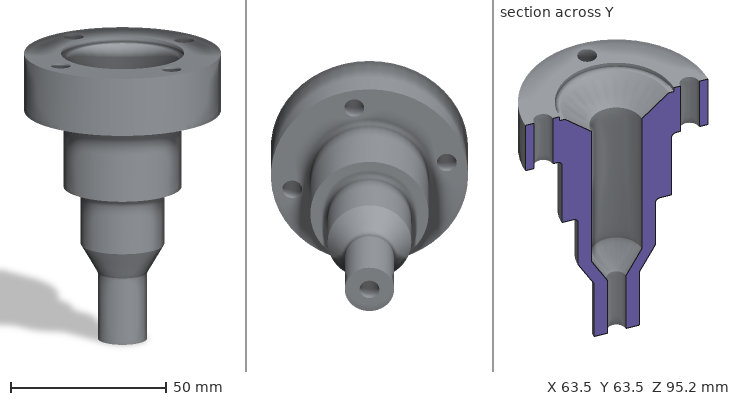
import cadquery as cq
import math

total_length = 95.25
flange_diameter = 63.5
flange_thickness = 19.05
body_diameter = 38.1
body_end_depth = 44.5
neck_diameter = 27.0
neck_end_depth = 63.5
taper_end_depth = 73.1
stem_diameter = 15.9
step_fillet = 1.6

recess_diameter = 39.7
recess_depth = 1.6
funnel_top_diameter = 36.0
bore_diameter = 17.4
funnel_end_depth = 9.5
bore_end_depth = neck_end_depth
outlet_diameter = 6.4
bore_tip_angle = 30.0

bolt_hole_diameter = 6.4
bolt_circle_diameter = 50.8
bolt_count = 4


def cone_height(large_diameter, small_diameter, half_angle):
    return (large_diameter - small_diameter) / 2 / math.tan(math.radians(half_angle))


def revolve_steps(steps):
    """Revolve (diameter, depth) steps about Z, with the flange face at the top."""
    points = [(diameter / 2, total_length - depth) for diameter, depth in steps]
    top = (0, points[0][1])
    bottom = (0, points[-1][1])
    profile = cq.Workplane("XZ").polyline([top] + points + [bottom]).close()
    return profile.revolve(360, (0, 0), (0, 1))


def fillet_step(solid, diameter, depth):
    """Round the inside corner where a cylinder meets the shoulder above it."""
    radius = diameter / 2
    height = total_length - depth
    tolerance = 0.1
    corner = cq.selectors.BoxSelector(
        (-radius - tolerance, -radius - tolerance, height - tolerance),
        (radius + tolerance, radius + tolerance, height + tolerance),
        boundingbox=True,
    )
    return solid.edges(corner).fillet(step_fillet)


body = revolve_steps([
    (flange_diameter, 0),
    (flange_diameter, flange_thickness),
    (body_diameter, flange_thickness),
    (body_diameter, body_end_depth),
    (neck_diameter, body_end_depth),
    (neck_diameter, neck_end_depth),
    (stem_diameter, taper_end_depth),
    (stem_diameter, total_length),
])
body = fillet_step(body, body_diameter, flange_thickness)
body = fillet_step(body, neck_diameter, body_end_depth)

bore_tip_depth = bore_end_depth + cone_height(bore_diameter, outlet_diameter, bore_tip_angle)
passage = revolve_steps([
    (recess_diameter, 0),
    (recess_diameter, recess_depth),
    (funnel_top_diameter, recess_depth),
    (bore_diameter, funnel_end_depth),
    (bore_diameter, bore_end_depth),
    (outlet_diameter, bore_tip_depth),
    (outlet_diameter, total_length),
])

bolt_holes = (
    cq.Workplane("XY", origin=(0, 0, total_length - flange_thickness))
    .polarArray(bolt_circle_diameter / 2, 0, 360, bolt_count)
    .circle(bolt_hole_diameter / 2)
    .extrude(flange_thickness)
)

result = body.cut(passage).cut(bolt_holes)